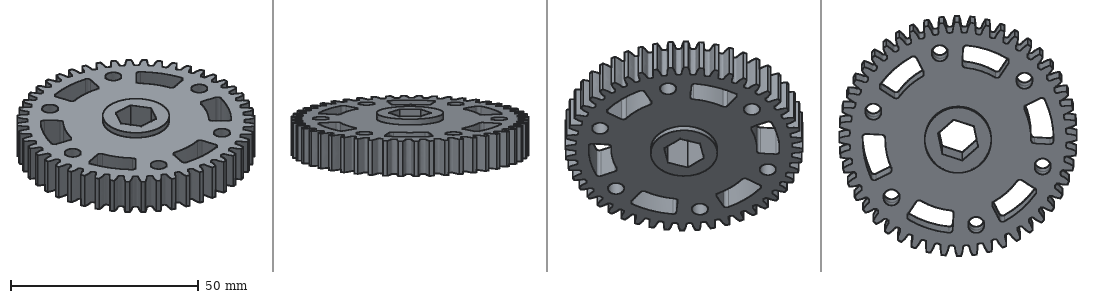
import cadquery as cq
import math

tooth_count = 48
tip_diameter = 63.5
pressure_angle = math.radians(14.5)
dedendum_factor = 1.25
backlash = 0.05
flank_steps = 4

face_width = 9.5
hub_diameter = 17.75
hub_length = 12.6
hex_across_flats = 9.75

hole_count = 6
hole_diameter = 4.3
hole_circle_radius = 23.8
pocket_inner_radius = 19.5
pocket_outer_radius = 25.5
pocket_span = 30.0
pocket_corner_radius = 0.95

module = tip_diameter / (tooth_count + 2)
pitch_radius = module * tooth_count / 2
tip_radius = tip_diameter / 2
root_radius = pitch_radius - dedendum_factor * module
base_radius = pitch_radius * math.cos(pressure_angle)
tooth_pitch = 360.0 / tooth_count
hole_pitch = 360.0 / hole_count


def polar(radius, degrees):
    angle = math.radians(degrees)
    return (radius * math.cos(angle), radius * math.sin(angle))


def involute(angle):
    return math.tan(angle) - angle


def gap_half_angle(radius):
    """Half the angle, in degrees, that a tooth gap spans at a radius on the involute flanks."""
    roll_angle = math.acos(base_radius / radius)
    half_at_pitch_circle = tooth_pitch / 4 + math.degrees(backlash / 2 / pitch_radius)
    return half_at_pitch_circle + math.degrees(involute(roll_angle) - involute(pressure_angle))


def gap_side():
    """Radius and angle from the gap's middle, for points from a tooth tip down to the root."""
    points = []
    for step in range(flank_steps + 1):
        radius = tip_radius + (base_radius - tip_radius) * step / flank_steps
        points.append((radius, gap_half_angle(radius)))

    fillet_radius = (base_radius**2 - root_radius**2) / (2 * root_radius)
    fillet_angle = math.degrees(math.atan(fillet_radius / base_radius))
    fillet_end = gap_half_angle(base_radius) - fillet_angle
    across = fillet_radius * math.sin(math.pi / 4)
    outward = root_radius + fillet_radius - fillet_radius * math.cos(math.pi / 4)
    fillet_middle = fillet_end + math.degrees(math.atan2(across, outward))
    points.append((math.hypot(across, outward), fillet_middle))
    points.append((root_radius, fillet_end))
    return points


def gear_body():
    """Spur gear blank; each tooth gap is one smooth curve joined to the next by a tip arc."""
    side = gap_side()
    gap_shape = [(radius, -angle) for radius, angle in side]
    gap_shape += [(radius, angle) for radius, angle in reversed(side)]
    tip_start = gap_shape[0]

    outline = cq.Workplane("XY").workplane(offset=-face_width / 2).moveTo(*polar(*tip_start))
    for index in range(tooth_count):
        gap = index * tooth_pitch
        curve = [polar(radius, gap + angle) for radius, angle in gap_shape[1:]]
        tooth_middle = polar(tip_radius, gap + tooth_pitch / 2)
        next_gap_start = polar(tip_radius, gap + tooth_pitch + tip_start[1])
        outline = outline.spline(curve, includeCurrent=True)
        outline = outline.threePointArc(tooth_middle, next_gap_start)
    return outline.close().extrude(face_width)


def hub():
    return cq.Workplane("XY").circle(hub_diameter / 2).extrude(hub_length / 2, both=True)


def hex_bore():
    """Hexagonal through bore with two corners on the Y axis."""
    across_corners = hex_across_flats / math.cos(math.pi / 6)
    bore = cq.Workplane("XY").polygon(6, across_corners).extrude(hub_length / 2, both=True)
    return bore.rotate((0, 0, 0), (0, 0, 1), 30)


def round_holes():
    """Through holes, with the first on the +Y axis."""
    return (
        cq.Workplane("XY")
        .polarArray(hole_circle_radius, 90, 360, hole_count)
        .circle(hole_diameter / 2)
        .extrude(face_width / 2, both=True)
    )


def pocket(middle):
    """Through pocket bounded by two concentric arcs and two radial sides."""
    start = middle - pocket_span / 2
    end = middle + pocket_span / 2
    return (
        cq.Workplane("XY")
        .moveTo(*polar(pocket_inner_radius, start))
        .lineTo(*polar(pocket_outer_radius, start))
        .threePointArc(polar(pocket_outer_radius, middle), polar(pocket_outer_radius, end))
        .lineTo(*polar(pocket_inner_radius, end))
        .threePointArc(polar(pocket_inner_radius, middle), polar(pocket_inner_radius, start))
        .close()
        .extrude(face_width / 2, both=True)
        .edges("|Z")
        .fillet(pocket_corner_radius)
    )


result = gear_body().union(hub()).cut(hex_bore()).cut(round_holes())
for index in range(hole_count):
    result = result.cut(pocket(index * hole_pitch))